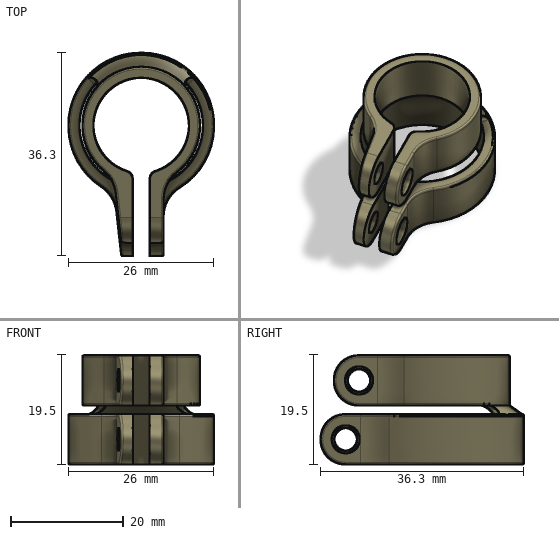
import cadquery as cq
import math

ring_height = 9.0
ring_spacing = 1.5
lower_bore_radius = 11.0
lower_outer_radius = 13.0
lower_bolt_y = -18.78
upper_bore_radius = 8.5
upper_outer_radius = 10.5
upper_bolt_y = -16.4
edge_fillet = 0.4

slit_width = 3.0
right_ear_outer_x = 4.0
left_ear_bolt_x = 4.05
left_ear_taper = 6.3
ear_blend_radius = 6.0
slit_blend_radius = 1.5
ear_end_radius = ring_height / 2
bolt_z = ring_height / 2
left_bolt_diameter = 4.0
right_bolt_diameter = 5.0

web_half_angle = 45.0
web_end_radius = ring_spacing / 2

upper_ring_z = ring_height + ring_spacing


def blended_ear(outer_radius, wall_x, wall_y, taper, end_y):
    """Ear prism blended into a disc, on the +X side and reaching the Y axis.

    The ear wall passes through (wall_x, wall_y) and leans toward the Y axis
    by the taper angle as it runs away from the disc.
    """
    tilt = math.radians(taper)
    normal_x = math.cos(tilt)
    normal_y = -math.sin(tilt)
    wall_offset = wall_x * normal_x + wall_y * normal_y + ear_blend_radius
    center_distance = outer_radius + ear_blend_radius
    along_wall = math.sqrt(center_distance**2 - wall_offset**2)
    center_x = wall_offset * normal_x + along_wall * normal_y
    center_y = wall_offset * normal_y - along_wall * normal_x
    disc_share = outer_radius / center_distance
    disc_point = (center_x * disc_share, center_y * disc_share)
    wall_point = (center_x - ear_blend_radius * normal_x, center_y - ear_blend_radius * normal_y)
    end_x = wall_x - (wall_y - end_y) * math.tan(tilt)
    return (
        cq.Workplane("XY")
        .lineTo(*disc_point)
        .radiusArc(wall_point, -ear_blend_radius)
        .lineTo(end_x, end_y)
        .lineTo(0, end_y)
        .close()
        .extrude(ring_height)
    )


def outer_body(outer_radius, bolt_y):
    """Disc with both ears, round ear ends and rounded outer edges."""
    end_y = bolt_y - ear_end_radius
    right_ear = blended_ear(outer_radius, right_ear_outer_x, bolt_y, 0, end_y)
    left_ear = blended_ear(outer_radius, left_ear_bolt_x, bolt_y, left_ear_taper, end_y)
    body = (
        cq.Workplane("XY")
        .circle(outer_radius)
        .extrude(ring_height)
        .union(right_ear)
        .union(left_ear.mirror("YZ"))
        .clean()
    )
    clear_of_disc = 2 * outer_radius
    side_outline = (
        cq.Workplane("YZ")
        .moveTo(bolt_y, 0)
        .lineTo(clear_of_disc, 0)
        .lineTo(clear_of_disc, ring_height)
        .lineTo(bolt_y, ring_height)
        .threePointArc((end_y, bolt_z), (bolt_y, 0))
        .close()
        .extrude(outer_radius, both=True)
    )
    return body.intersect(side_outline).edges("not(|X or |Z)").fillet(edge_fillet)


def bore_and_slit(bore_radius, length):
    """Bore joined to the clamping slit, with rounded corners between them."""
    slit = (
        cq.Workplane("XY")
        .center(0, -length / 2)
        .rect(slit_width, length)
        .extrude(ring_height)
    )
    cutter = cq.Workplane("XY").circle(bore_radius).extrude(ring_height).union(slit)
    corner_y = -math.sqrt(bore_radius**2 - (slit_width / 2) ** 2)
    corners = cq.selectors.BoxSelector(
        (-slit_width, corner_y - slit_width, 0),
        (slit_width, corner_y + slit_width, ring_height),
    )
    return cutter.edges("|Z").edges(corners).fillet(slit_blend_radius)


def bolt_hole(diameter, bolt_y, length):
    """Round hole running from the middle of the slit along X."""
    return (
        cq.Workplane("YZ")
        .center(bolt_y, bolt_z)
        .circle(diameter / 2)
        .extrude(length)
    )


def clamp_ring(bore_radius, outer_radius, bolt_y):
    """One split clamp ring standing on Z = 0."""
    return (
        outer_body(outer_radius, bolt_y)
        .cut(bore_and_slit(bore_radius, outer_radius - bolt_y))
        .cut(bolt_hole(left_bolt_diameter, bolt_y, -outer_radius))
        .cut(bolt_hole(right_bolt_diameter, bolt_y, outer_radius))
    )


def web():
    """Conical web at the back, ending in concave rounds on both sides.

    Its top overlaps the upper ring and fills that ring's rounded lower edge.
    """
    shell = (
        cq.Workplane("XZ")
        .moveTo(lower_bore_radius, ring_height)
        .lineTo(lower_outer_radius - edge_fillet, ring_height)
        .lineTo(upper_outer_radius, upper_ring_z)
        .lineTo(upper_outer_radius, upper_ring_z + edge_fillet)
        .lineTo(upper_bore_radius, upper_ring_z + edge_fillet)
        .lineTo(upper_bore_radius, upper_ring_z)
        .close()
        .revolve(360, (0, 0, 0), (0, 1, 0))
    )
    reach = 2 * lower_outer_radius
    angle = math.radians(web_half_angle)
    apex_y = -web_end_radius / math.sin(angle)
    side_x = reach * math.sin(angle)
    side_y = apex_y + reach * math.cos(angle)
    sector = (
        cq.Workplane("XY", origin=(0, 0, ring_height))
        .polyline([(0, apex_y), (side_x, side_y), (0, reach), (-side_x, side_y)])
        .close()
        .extrude(ring_spacing + edge_fillet)
    )
    end_round = (
        cq.Workplane("XZ", origin=(web_end_radius, 0, ring_height + web_end_radius))
        .circle(web_end_radius)
        .extrude(-reach)
        .rotate((0, 0, 0), (0, 0, 1), -web_half_angle)
    )
    return shell.intersect(sector).cut(end_round).cut(end_round.mirror("YZ"))


lower_ring = clamp_ring(lower_bore_radius, lower_outer_radius, lower_bolt_y)
upper_ring = clamp_ring(upper_bore_radius, upper_outer_radius, upper_bolt_y)
upper_ring = upper_ring.translate((0, 0, upper_ring_z))
result = lower_ring.union(upper_ring).union(web())